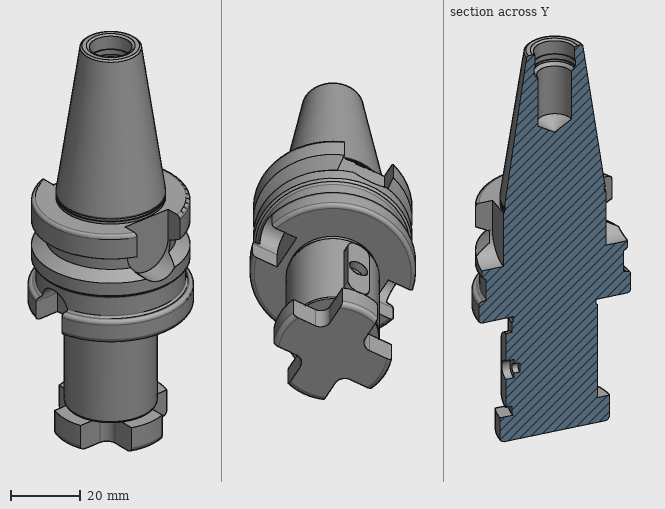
import cadquery as cq
import math

total_height = 126.4
gauge_z = 78.0
gripper_top_z = 76.0
gripper_height = 19.8
drive_top_z = 48.2
drive_bottom_z = 40.8
arbor_top_z = 38.9
driver_height = 8.3

gauge_radius = 15.9
taper_half_slope = 7 / 48
tip_radius = gauge_radius - (total_height - gauge_z) * taper_half_slope
tip_chamfer = 0.5
collar_groove_top_z = 77.6
collar_groove_bottom_z = 76.7
collar_groove_depth = 0.4

gripper_radius = 23.0
gripper_round = 1.1
gripper_bottom_z = gripper_top_z - gripper_height
gripper_bottom_chamfer = 0.8
gripper_chamfer_z = gripper_bottom_z - gripper_bottom_chamfer
groove_radius = 19.0
groove_top_z = 68.4
groove_bottom_z = 60.3
groove_flank_angle = 30
groove_flank_height = (gripper_radius - groove_radius) * math.tan(math.radians(groove_flank_angle))

body_radius = 21.7
body_fillet = 0.6
drive_radius = 24.0
drive_round = 1.3

arbor_radius = 13.5
arbor_chamfer = 0.5
neck_radius = 13.0
neck_bottom_z = 39.7

slot_outer_reach = 25.3
gripper_slot_width = 16.2
gripper_slot_floor = 16.2
gripper_slot_end_z = 58.3
drive_slot_width = 11.6
drive_slot_floor = 15.2
drive_slot_end_z = 53.0
key_width = 7.1
key_face = 15.4
key_bottom_z = 11.2
key_top_z = 35.9
screw_z = 23.6
screw_head_diameter = 6.0
screw_head_depth = 2.5
screw_socket_diameter = 2.9
screw_socket_depth = 1.9

lug_radius = 17.3
lug_width = 11.6
lug_corner_fillet = 3.2
lug_bottom_round = 1.5

bore_mouth_radius = 7.1
bore_mouth_depth = 0.4
bore_radius = 6.2
relief_start_depth = 4.8
relief_end_depth = 6.6
relief_radius = 6.5
bore_depth = 7.2
drill_radius = 5.25
drill_step_height = 1.0
drill_depth = 24.0
drill_point_angle = 118
drill_point_depth = drill_radius / math.tan(math.radians(drill_point_angle / 2))


def revolved_body():
    """Everything round about Z above the driver."""
    outline = (
        cq.Workplane("XZ")
        .moveTo(0, driver_height)
        .lineTo(arbor_radius - arbor_chamfer / 2, driver_height)
        .lineTo(arbor_radius, driver_height + arbor_chamfer)
        .lineTo(arbor_radius, arbor_top_z)
        .lineTo(neck_radius, neck_bottom_z)
        .lineTo(neck_radius, drive_bottom_z)
        .lineTo(drive_radius - drive_round, drive_bottom_z)
        .radiusArc((drive_radius, drive_bottom_z + drive_round), -drive_round)
        .lineTo(drive_radius, drive_top_z - drive_round)
        .radiusArc((drive_radius - drive_round, drive_top_z), -drive_round)
        .lineTo(body_radius + body_fillet, drive_top_z)
        .radiusArc((body_radius, drive_top_z + body_fillet), body_fillet)
        .lineTo(body_radius, gripper_chamfer_z - body_fillet)
        .radiusArc((body_radius + body_fillet, gripper_chamfer_z), body_fillet)
        .lineTo(gripper_radius, gripper_bottom_z)
        .lineTo(gripper_radius, groove_bottom_z)
        .lineTo(groove_radius, groove_bottom_z + groove_flank_height)
        .lineTo(groove_radius, groove_top_z - groove_flank_height)
        .lineTo(gripper_radius, groove_top_z)
        .lineTo(gripper_radius, gripper_top_z - gripper_round)
        .radiusArc((gripper_radius - gripper_round, gripper_top_z), -gripper_round)
        .lineTo(gauge_radius, gripper_top_z)
        .lineTo(gauge_radius, collar_groove_bottom_z)
        .lineTo(gauge_radius - collar_groove_depth, collar_groove_bottom_z)
        .lineTo(gauge_radius - collar_groove_depth, collar_groove_top_z)
        .lineTo(gauge_radius, collar_groove_top_z)
        .lineTo(gauge_radius, gauge_z)
        .lineTo(tip_radius + tip_chamfer * taper_half_slope, total_height - tip_chamfer)
        .lineTo(tip_radius - tip_chamfer, total_height)
        .lineTo(0, total_height)
        .close()
    )
    return outline.revolve(360, (0, 0), (0, 1))


def tip_bore():
    """Countersunk bore with a shallow relief groove, stepping down to a drilled hole."""
    outline = (
        cq.Workplane("XZ")
        .moveTo(0, total_height)
        .lineTo(bore_mouth_radius, total_height)
        .lineTo(bore_radius, total_height - bore_mouth_depth)
        .lineTo(bore_radius, total_height - relief_start_depth)
        .lineTo(relief_radius, total_height - relief_start_depth)
        .lineTo(relief_radius, total_height - relief_end_depth)
        .lineTo(bore_radius, total_height - relief_end_depth)
        .lineTo(bore_radius, total_height - bore_depth)
        .lineTo(drill_radius, total_height - bore_depth - drill_step_height)
        .lineTo(drill_radius, total_height - drill_depth)
        .lineTo(0, total_height - drill_depth - drill_point_depth)
        .close()
    )
    return outline.revolve(360, (0, 0), (0, 1))


def round_ended_bar(width, bottom_z, top_z, start, end):
    """Vertical bar with round ends, reaching from start to end along +X."""
    length = top_z - bottom_z
    return (
        cq.Workplane("YZ", origin=(start, 0, (bottom_z + top_z) / 2))
        .slot2D(length, width, 90)
        .extrude(end - start)
    )


def turned(shape, angle):
    return shape.rotate((0, 0, 0), (0, 0, 1), angle)


def driver():
    """Four lugs on a cross, filleted in the inner corners and rounded below."""
    cross = (
        cq.Workplane("XY")
        .rect(2 * lug_radius, lug_width)
        .extrude(driver_height)
        .union(cq.Workplane("XY").rect(lug_width, 2 * lug_radius).extrude(driver_height))
    )
    inner_corners = cq.selectors.BoxSelector(
        (-lug_width, -lug_width, 0), (lug_width, lug_width, driver_height)
    )
    cross = cross.edges("|Z").edges(inner_corners).fillet(lug_corner_fillet)
    envelope = cq.Workplane("XY").circle(lug_radius).extrude(driver_height)
    envelope = envelope.faces("<Z").edges().fillet(lug_bottom_round)
    return cross.intersect(envelope)


def slots():
    """Two slots across X in the gripper flange, two across Y in the drive flange."""
    gripper_slot = round_ended_bar(
        gripper_slot_width, gripper_slot_end_z, total_height, gripper_slot_floor, slot_outer_reach
    )
    drive_slot_start_z = (driver_height + drive_bottom_z) / 2
    drive_slot = round_ended_bar(
        drive_slot_width, drive_slot_start_z, drive_slot_end_z, drive_slot_floor, slot_outer_reach
    )
    cutter = cq.Workplane("XY")
    for angle in (0, 180):
        cutter = cutter.add(turned(gripper_slot, angle))
        cutter = cutter.add(turned(drive_slot, angle + 90))
    return cutter.combine()


def key():
    """Round-ended key on the -X side of the arbor."""
    return turned(round_ended_bar(key_width, key_bottom_z, key_top_z, 0, key_face), 180)


def key_screw():
    """Screw head recess in the key face, with a smaller socket behind it."""
    face = cq.Plane(origin=(-key_face, 0, screw_z), xDir=(0, 1, 0), normal=(1, 0, 0))
    recess = cq.Workplane(face).circle(screw_head_diameter / 2).extrude(screw_head_depth)
    socket_end = screw_head_depth + screw_socket_depth
    socket = cq.Workplane(face).circle(screw_socket_diameter / 2).extrude(socket_end)
    return recess.union(socket)


result = revolved_body().union(driver()).union(key())
result = result.cut(slots()).cut(tip_bore()).cut(key_screw())